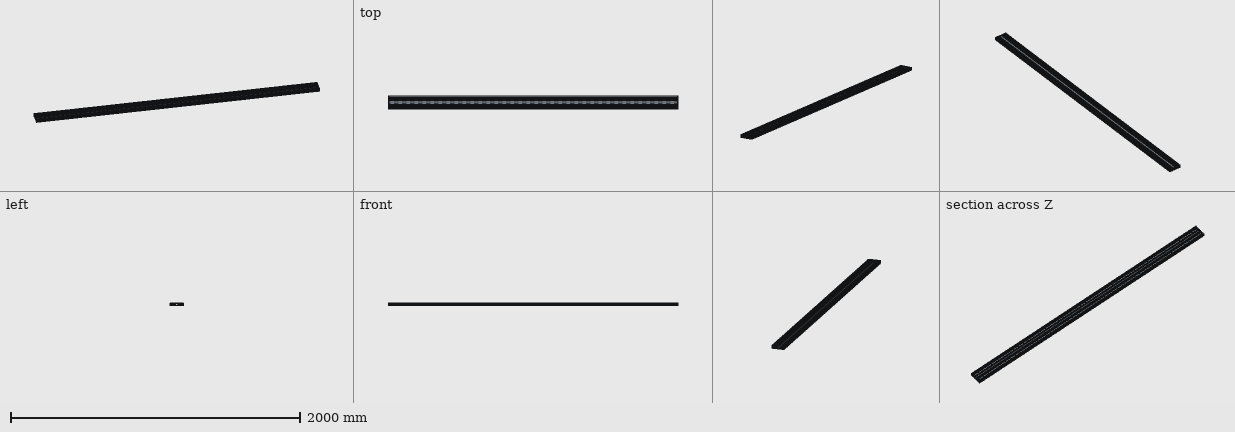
import cadquery as cq

LENGTH = 2000.0
WIDTH = 90.0
HEIGHT = 18.5
CORNER_RADIUS = 2.5

MOUTH_WIDTH = 8.2
LIP_THICKNESS = 1.8

FACE_SLOT_SPACING = WIDTH / 2
FACE_SLOT_UNDERCUT = 18.0
FLOOR_WEB = 4.0
FACE_SLOT_DEPTH = (HEIGHT - FLOOR_WEB) / 2
FLOOR_BEVEL = 2.0

SIDE_SLOT_WALL = 2.25
SIDE_SLOT_UNDERCUT = HEIGHT - 2 * SIDE_SLOT_WALL
SIDE_SLOT_DEPTH = 10.3

CHAMBER_WIDTH = 18.0
CHAMBER_WALL = 3.0
CHAMBER_HEIGHT = HEIGHT - 2 * CHAMBER_WALL
CHAMBER_RADIUS = 5.0


def rounded_bar(width, height, radius):
    """Full-length bar with its four long edges rounded."""
    return cq.Workplane("XY").box(LENGTH, width, height).edges("|X").fillet(radius)


def slot_cutter(undercut, depth, bevel=0.0):
    """Full-length T-slot cutter with its mouth at Z = 0, opening upward."""
    mouth = (
        cq.Workplane("YZ")
        .rect(MOUTH_WIDTH, 2 * LIP_THICKNESS)
        .extrude(LENGTH / 2, both=True)
    )
    cavity_height = depth - LIP_THICKNESS
    cavity = (
        cq.Workplane("XY")
        .box(LENGTH, undercut, cavity_height)
        .translate((0, 0, -LIP_THICKNESS - cavity_height / 2))
    )
    if bevel > 0:
        cavity = cavity.faces("<Z").edges("|X").chamfer(bevel)
    return mouth.union(cavity)


def turned_about_length(body, angle):
    """Body rotated about the X axis."""
    return body.rotate((0, 0, 0), (1, 0, 0), angle)


def cut_face_slots(body):
    """Cut the slots of the top and bottom faces."""
    cutter = slot_cutter(FACE_SLOT_UNDERCUT, FACE_SLOT_DEPTH, FLOOR_BEVEL)
    for y in (-FACE_SLOT_SPACING / 2, FACE_SLOT_SPACING / 2):
        top_slot = cutter.translate((0, y, HEIGHT / 2))
        body = body.cut(top_slot).cut(turned_about_length(top_slot, 180))
    return body


def cut_side_slots(body):
    """Cut the slots of the two narrow sides."""
    cutter = slot_cutter(SIDE_SLOT_UNDERCUT, SIDE_SLOT_DEPTH).translate((0, 0, WIDTH / 2))
    for angle in (-90, 90):
        body = body.cut(turned_about_length(cutter, angle))
    return body


profile = rounded_bar(WIDTH, HEIGHT, CORNER_RADIUS)
profile = cut_face_slots(profile)
profile = cut_side_slots(profile)
result = profile.cut(rounded_bar(CHAMBER_WIDTH, CHAMBER_HEIGHT, CHAMBER_RADIUS))